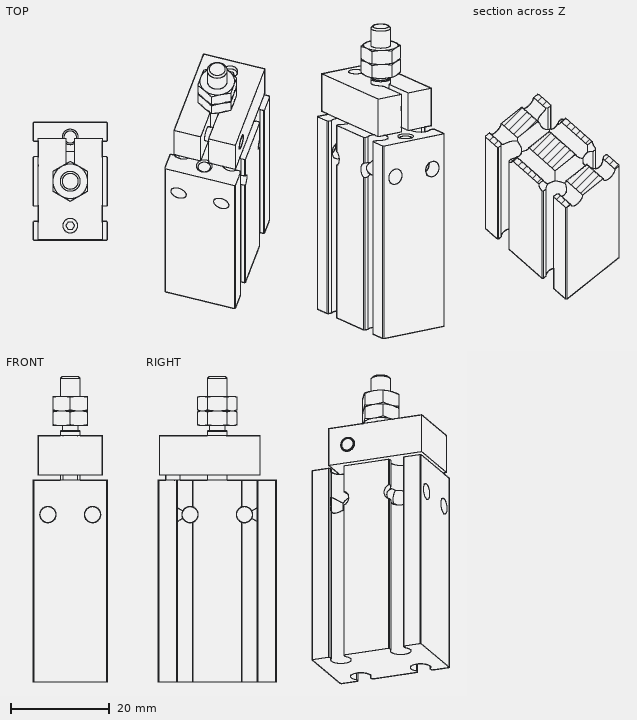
import cadquery as cq
import math

total_height = 62.0
housing_height = 41.0
plate_bottom = 42.0
plate_top = 50.0
neck_bottom = 51.0
nut_bottom = 52.0
nut_top = 58.0

housing_width = 15.0
housing_depth = 24.0
housing_edge_chamfer = 0.2
cross_hole_diameter = 3.2
cross_hole_drop = 7.0
side_hole_offset = 5.5
front_hole_offset = 4.5

groove_offset = 6.6
groove_mouth_width = 3.05
groove_channel_diameter = 4.15
groove_lip_depth = 0.9
groove_edge_chamfer = 0.2

top_hole_diameter = 2.5
top_hole_rim_diameter = 3.15
top_hole_countersink_angle = 90.0
top_hole_depth = 3.7
guide_offset = 9.0

rod_diameter = 4.0
neck_diameter = 3.2
rod_end_chamfer = (rod_diameter - neck_diameter) / 2
collar_chamfer = 0.2

hexagon_sides = 6
nut_count = 2
nut_width_across_flats = 7.0
nut_chamfer_angle = 20.0

plate_width = 13.0
plate_depth = 20.45
plate_setback = 0.25
plate_front = plate_setback - housing_depth / 2
slot_width = 1.7

screw_diameter = 3.0
screw_end_diameter = 2.5
screw_offset = 4.6
screw_engagement = 3.7

guide_diameter = 3.0
recess_depth = 1.0
socket_width_across_flats = 1.5
socket_depth = 1.0


def cylinder(diameter, bottom, top, x=0.0, y=0.0):
    """Upright cylinder between two heights."""
    return cq.Workplane("XY", origin=(x, y, bottom)).circle(diameter / 2).extrude(top - bottom)


def hexagon_corners(width_across_flats):
    """Diameter of the circle through the corners of a hexagon."""
    return width_across_flats / math.cos(math.pi / hexagon_sides)



def make_groove(side, y):
    """Full-height groove cutter for the +X (side = 1) or -X (side = -1) face."""
    face_x = side * housing_width / 2
    half_mouth = groove_mouth_width / 2
    channel_radius = groove_channel_diameter / 2
    channel_depth = groove_lip_depth + math.sqrt(channel_radius**2 - half_mouth**2)
    channel_x = face_x - side * channel_depth
    edge_x = face_x - side * groove_edge_chamfer
    half_rim = half_mouth + groove_edge_chamfer

    channel = cylinder(groove_channel_diameter, 0, housing_height, channel_x, y)
    mouth = (
        cq.Workplane("XY")
        .moveTo(face_x, y - half_rim)
        .lineTo(edge_x, y - half_mouth)
        .lineTo(channel_x, y - half_mouth)
        .lineTo(channel_x, y + half_mouth)
        .lineTo(edge_x, y + half_mouth)
        .lineTo(face_x, y + half_rim)
        .close()
        .extrude(housing_height)
    )
    return channel.union(mouth)


def make_housing():
    body = (
        cq.Workplane("XY")
        .box(housing_width, housing_depth, housing_height, centered=(True, True, False))
        .edges("|Z")
        .chamfer(housing_edge_chamfer)
    )

    for side in (-1, 1):
        for y in (-groove_offset, groove_offset):
            body = body.cut(make_groove(side, y))

    hole_z = housing_height - cross_hole_drop
    side_holes = (
        cq.Workplane("YZ", origin=(-housing_width / 2, 0, hole_z))
        .pushPoints([(-side_hole_offset, 0), (side_hole_offset, 0)])
        .circle(cross_hole_diameter / 2)
        .extrude(housing_width)
    )
    front_holes = (
        cq.Workplane("XZ", origin=(0, housing_depth / 2, hole_z))
        .pushPoints([(-front_hole_offset, 0), (front_hole_offset, 0)])
        .circle(cross_hole_diameter / 2)
        .extrude(housing_depth)
    )
    body = body.cut(side_holes).cut(front_holes)

    return (
        body.faces(">Z").workplane(origin=(0, guide_offset, housing_height))
        .cskHole(top_hole_diameter, top_hole_rim_diameter, top_hole_countersink_angle, top_hole_depth)
    )



def make_plate():
    """Slotted plate with the clamping screw across the slot."""
    plate_height = plate_top - plate_bottom
    plate_back = plate_front + plate_depth
    plate = (
        cq.Workplane("XY", origin=(0, plate_front, plate_bottom))
        .box(plate_width, plate_depth, plate_height, centered=(True, False, False))
    )
    slot = (
        cq.Workplane("XY", origin=(0, 0, plate_bottom))
        .box(slot_width, plate_back, plate_height, centered=(True, False, False))
    )
    screw_plane = cq.Workplane(
        "YZ", origin=(-plate_width / 2, screw_offset, (plate_bottom + plate_top) / 2)
    )
    screw_hole = screw_plane.circle(screw_diameter / 2).extrude(plate_width / 2 + screw_engagement)
    screw = screw_hole.faces("<X").chamfer((screw_diameter - screw_end_diameter) / 2)
    return plate.cut(slot).cut(screw_hole).union(screw)


def make_nut(bottom, height):
    """Hexagon nut with its corners on the Y axis, chamfered at both ends."""
    corner_radius = hexagon_corners(nut_width_across_flats) / 2
    flat_radius = nut_width_across_flats / 2
    chamfer_height = (corner_radius - flat_radius) * math.tan(math.radians(nut_chamfer_angle))
    blank = (
        cq.Workplane("XY", origin=(0, 0, bottom))
        .transformed(rotate=(0, 0, 90))
        .polygon(hexagon_sides, 2 * corner_radius)
        .extrude(height)
    )
    envelope = (
        cq.Workplane("XZ", origin=(0, 0, bottom))
        .lineTo(flat_radius, 0)
        .lineTo(corner_radius, chamfer_height)
        .lineTo(corner_radius, height - chamfer_height)
        .lineTo(flat_radius, height)
        .lineTo(0, height)
        .close()
        .revolve()
    )
    return blank.intersect(envelope)


def make_rod_assembly():
    """Rod, nuts, plate and guide rod, standing on the housing top."""
    collar = cylinder(rod_diameter, housing_height, neck_bottom).faces(">Z").chamfer(collar_chamfer)
    neck = cylinder(neck_diameter, neck_bottom, nut_bottom)
    thread = cylinder(rod_diameter, nut_bottom, total_height).faces(">Z").chamfer(rod_end_chamfer)
    assembly = make_plate().union(collar).union(neck).union(thread)

    nut_height = (nut_top - nut_bottom) / nut_count
    for i in range(nut_count):
        assembly = assembly.union(make_nut(nut_bottom + i * nut_height, nut_height))

    guide_top = plate_top - recess_depth
    guide_rod = cylinder(guide_diameter, housing_height, guide_top, y=-guide_offset)
    recess = cylinder(guide_diameter, guide_top, plate_top, y=-guide_offset)
    socket = (
        cq.Workplane("XY", origin=(0, -guide_offset, guide_top))
        .polygon(hexagon_sides, hexagon_corners(socket_width_across_flats))
        .extrude(-socket_depth)
    )
    return assembly.union(guide_rod).cut(recess).cut(socket)


housing = make_housing()
rod_assembly = make_rod_assembly()

result = cq.Compound.makeCompound([housing.val(), rod_assembly.val()])